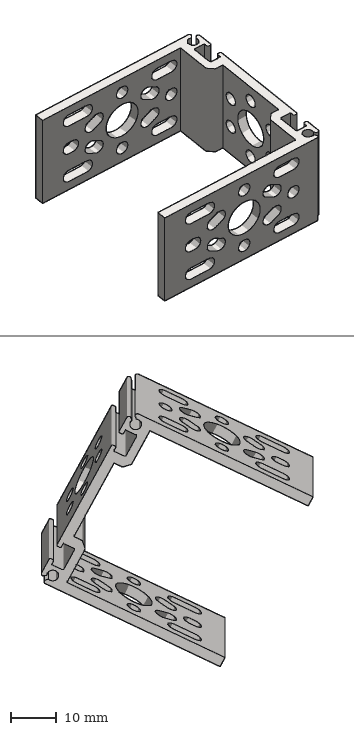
import cadquery as cq
import math

width = 45.0
depth = 45.0
height = 24.0
half_width = width / 2
back = depth / 2

wall = 2.45
shoulder_depth = 6.0
web_half_width = 9.7
bevel = 1.5
bevel_round = 0.5

slot_center = 15.05
slot_width = 5.62
slot_depth = 3.95
mouth_width = 3.25
lip = 1.1
lip_round = 0.3
slot_floor_round = 0.3

channel_inset = 2.48
channel_radius = 1.25
gap_width = 1.0
tip_round = 0.5

bore_diameter = 9.0
hole_diameter = 3.2
bolt_radius = 8.0
leg_near = 10.0
leg_back_far = 13.9
leg_front_far = 15.05
angled_slot_end = (8.85, 3.0)

bolt_points = [
    (bolt_radius * math.sin(math.radians(angle)), bolt_radius * math.cos(math.radians(angle)))
    for angle in range(0, 360, 60)
]
hex_x, hex_z = bolt_points[1]


def block(x_min, x_max, y_min, y_max):
    """Full-height block between the given X and Y limits."""
    return (
        cq.Workplane("XY")
        .box(x_max - x_min, y_max - y_min, height, centered=(False, False, True))
        .translate((x_min, y_min, 0))
    )


def round_at(body, points, radius):
    """Round the vertical edges that pass through the given XY points."""
    reach = 0.022
    for x, y in points:
        edge_box = cq.selectors.BoxSelector(
            (x - reach, y - reach, -height), (x + reach, y + reach, height)
        )
        body = body.edges(edge_box).fillet(radius)
    return body


def half_shell():
    """Right half of the U section with its bevelled shoulder."""
    shoulder = back - shoulder_depth
    bevel_points = [
        (web_half_width + bevel, shoulder),
        (web_half_width, shoulder + bevel),
    ]
    shell = (
        cq.Workplane("XY", origin=(0, 0, -height / 2))
        .moveTo(0, back)
        .lineTo(half_width, back)
        .lineTo(half_width, -back)
        .lineTo(half_width - wall, -back)
        .lineTo(half_width - wall, shoulder)
        .lineTo(*bevel_points[0])
        .lineTo(*bevel_points[1])
        .lineTo(web_half_width, back - wall)
        .lineTo(0, back - wall)
        .close()
        .extrude(height)
    )
    return round_at(shell, bevel_points, bevel_round)


def cut_t_slot(body):
    """T-slot with rounded lips and a rounded floor."""
    mouth_sides = [slot_center - mouth_width / 2, slot_center + mouth_width / 2]
    slot_sides = [slot_center - slot_width / 2, slot_center + slot_width / 2]
    floor = back - slot_depth
    body = body.cut(block(*mouth_sides, floor, back))
    body = body.cut(block(*slot_sides, floor, back - lip))
    lip_edges = [(x, y) for x in mouth_sides for y in (back, back - lip)]
    body = round_at(body, lip_edges, lip_round)
    return round_at(body, [(x, floor) for x in slot_sides], slot_floor_round)


def cut_screw_channel(body):
    """Round channel with a diagonal gap out through the corner."""
    channel_x = half_width - channel_inset
    channel_y = back - channel_inset
    channel = cq.Workplane("XY").circle(channel_radius).extrude(height / 2, both=True)
    gap_length = 2 * channel_inset
    gap = (
        cq.Workplane("XY")
        .box(gap_length, gap_width, height, centered=(False, True, True))
        .rotate((0, 0, 0), (0, 0, 1), 45)
    )
    body = body.cut(channel.union(gap).translate((channel_x, channel_y, 0)))
    tip_inset = gap_width / math.sqrt(2)
    tips = [(half_width - tip_inset, back), (half_width, back - tip_inset)]
    return round_at(body, tips, tip_round)


def slot_cutter(start, end):
    """Cutter along X for a round-ended slot between two (Y, Z) end centres."""
    dy = end[0] - start[0]
    dz = end[1] - start[1]
    center = ((start[0] + end[0]) / 2, (start[1] + end[1]) / 2)
    return (
        cq.Workplane("YZ")
        .center(*center)
        .slot2D(math.hypot(dy, dz) + hole_diameter, hole_diameter, math.degrees(math.atan2(dz, dy)))
        .extrude(width, both=True)
    )


def drill_legs(body):
    """Matching holes and slots through both side legs."""
    round_holes = [(0, bolt_radius), (0, -bolt_radius), (leg_back_far, 0)]
    body = body.cut(cq.Workplane("YZ").circle(bore_diameter / 2).extrude(width, both=True))
    body = body.cut(
        cq.Workplane("YZ").pushPoints(round_holes).circle(hole_diameter / 2).extrude(width, both=True)
    )
    body = body.cut(slot_cutter((-leg_back_far, 0), (-leg_front_far, 0)))
    for side in (1, -1):
        z = side * bolt_radius
        body = body.cut(slot_cutter((leg_near, z), (leg_back_far, z)))
        body = body.cut(slot_cutter((-leg_near, z), (-leg_front_far, z)))
        for direction in (1, -1):
            inner_end = (direction * hex_x, side * hex_z)
            outer_end = (direction * angled_slot_end[0], side * angled_slot_end[1])
            body = body.cut(slot_cutter(inner_end, outer_end))
    return body


def drill_web(body):
    """Central bore and six bolt holes through the centre web."""
    bore = cq.Workplane("XZ").circle(bore_diameter / 2).extrude(depth, both=True)
    holes = cq.Workplane("XZ").pushPoints(bolt_points).circle(hole_diameter / 2).extrude(depth, both=True)
    return body.cut(bore).cut(holes)


half = cut_screw_channel(cut_t_slot(half_shell()))
bracket = half.union(half.mirror("YZ")).clean()
result = drill_web(drill_legs(bracket))